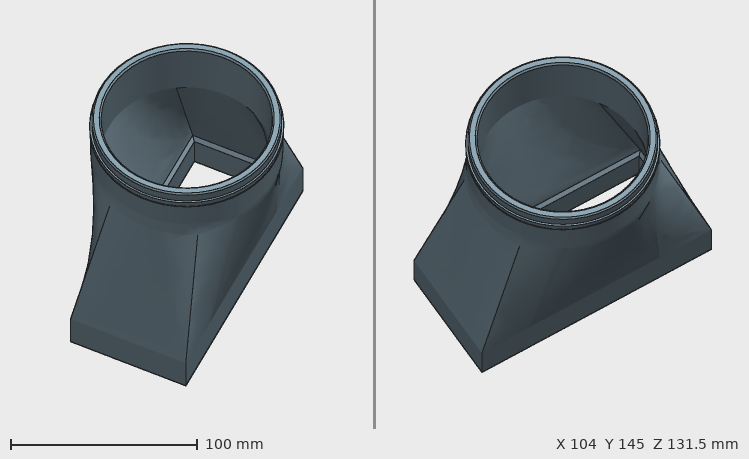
import cadquery as cq
import math

base_width = 68.5
base_length = 145.0
base_height = 20.0

total_height = 131.5
neck_bend = 102.0
neck_diameter = 103.0
neck_top = 116.6
collar_diameter = 104.0
collar_bottom = 121.8
collar_top = 125.5
spigot_diameter = 101.6
rim_chamfer = 0.9
blend_radius = 29.0

bore_diameter = 91.6
bore_bottom = 98.2
bore_chamfer = 1.0
wall = (neck_diameter - bore_diameter) / 2
base_wall = 7.5
ledge_drop = 2.3

curve_steps = 12
bisection_steps = 60
neck_radius = neck_diameter / 2

right_back_angle = math.radians(64.5)
right_front_angle = math.radians(-57.4)
left_back_angle = right_front_angle + math.pi


def base_point(angle):
    """Point on the +X or +Y side of the base, evenly spaced between its ridges."""
    x = base_width / 2
    y = base_length / 2
    if angle <= right_back_angle:
        share = (angle - right_front_angle) / (right_back_angle - right_front_angle)
        return cq.Vector(x, y * (2 * share - 1), base_height)
    share = (angle - right_back_angle) / (left_back_angle - right_back_angle)
    return cq.Vector(x * (1 - 2 * share), y, base_height)


def neck_point(angle, z):
    return cq.Vector(neck_radius * math.cos(angle), neck_radius * math.sin(angle), z)


def wall_lean(angle):
    """Signed angle between the sloping wall and the upright neck."""
    foot = base_point(angle)
    reach = foot.x * math.cos(angle) + foot.y * math.sin(angle) - neck_radius
    return math.atan2(reach, neck_bend - base_height)


def blend_points(angle):
    """Lower, middle and upper points of the rounding at one angle."""
    lean = wall_lean(angle)
    tangent = blend_radius * math.tan(abs(lean) / 2)
    bend = neck_point(angle, neck_bend)
    upper = neck_point(angle, neck_bend + tangent)
    fall = tangent * math.cos(lean) / (neck_bend - base_height)
    lower = bend + (base_point(angle) - bend) * fall
    chord_middle = (lower + upper) * 0.5
    middle = bend + (chord_middle - bend) / (1 + math.cos(lean / 2))
    return lower, middle, upper


def upright_angle(inward, outward):
    """Angle where the wall is upright and the rounding vanishes, found by bisection.

    The wall leans in at the first angle given and out at the second.
    """
    for _ in range(bisection_steps):
        middle = (inward + outward) / 2
        if wall_lean(middle) < 0:
            inward = middle
        else:
            outward = middle
    return inward


def wall_strip(start, end, pointed_start, pointed_end):
    """Wall, rounding and neck faces between two angles, with their end edges."""
    angles = [start + (end - start) * i / curve_steps for i in range(curve_steps + 1)]
    rows = [blend_points(a) for a in angles]
    lower = cq.Edge.makeSpline([row[0] for row in rows])
    upper = cq.Edge.makeSpline([row[2] for row in rows])
    foot = cq.Edge.makeLine(base_point(start), base_point(end))
    rim = cq.Edge.makeThreePointArc(
        neck_point(start, neck_top),
        neck_point((start + end) / 2, neck_top),
        neck_point(end, neck_top),
    )
    border = [lower, upper]
    if not pointed_start:
        border.append(cq.Edge.makeThreePointArc(*rows[0]))
    if not pointed_end:
        border.append(cq.Edge.makeThreePointArc(*rows[-1]))
    rounding = cq.Face.makeNSidedSurface(border, [row[1] for row in rows[2:-2:2]])
    faces = [cq.Face.makeRuledSurface(foot, lower), rounding, cq.Face.makeRuledSurface(upper, rim)]
    return faces, foot, rim


def rectangle_wire(width, length, z):
    x = width / 2
    y = length / 2
    outline = cq.Workplane("XY", origin=(0, 0, z)).polyline([(x, -y), (x, y), (-x, y), (-x, -y)])
    return outline.close().wires().val()


def quartered_circle_wire(diameter, z):
    """Circle split at the four ridges."""
    ridges = [
        right_front_angle,
        right_back_angle,
        left_back_angle,
        right_back_angle + math.pi,
        right_front_angle + 2 * math.pi,
    ]

    def point(angle):
        return (diameter / 2 * math.cos(angle), diameter / 2 * math.sin(angle))

    circle = cq.Workplane("XY", origin=(0, 0, z)).moveTo(*point(ridges[0]))
    for start, end in zip(ridges, ridges[1:]):
        circle = circle.threePointArc(point((start + end) / 2), point(end))
    return circle.close().wires().val()


def cylinder(diameter, bottom, top):
    return cq.Workplane("XY", origin=(0, 0, bottom)).circle(diameter / 2).extrude(top - bottom)


def make_transition():
    """Solid that changes from the rectangular base to the round neck."""
    upright_front = upright_angle(0.0, right_front_angle)
    upright_back = upright_angle(0.0, right_back_angle)
    half = [
        wall_strip(right_front_angle, upright_front, False, True),
        wall_strip(upright_front, upright_back, True, True),
        wall_strip(upright_back, right_back_angle, True, False),
        wall_strip(right_back_angle, left_back_angle, False, False),
    ]
    faces = []
    foot_edges = []
    rim_edges = []
    for turn in (0, 180):
        for strip_faces, foot, rim in half:
            faces += [face.rotate((0, 0, 0), (0, 0, 1), turn) for face in strip_faces]
            foot_edges.append(foot.rotate((0, 0, 0), (0, 0, 1), turn))
            rim_edges.append(rim.rotate((0, 0, 0), (0, 0, 1), turn))
    for edges in (foot_edges, rim_edges):
        faces.append(cq.Face.makeFromWires(cq.Wire.assembleEdges(edges)))
    shell = cq.Shell.makeShell(faces)
    return cq.Workplane(cq.Solid.makeSolid(shell).fix())


def make_spigot():
    """Turned end with its locating collar and chamfered rim."""
    neck = cylinder(neck_diameter, neck_top, collar_bottom)
    collar = cylinder(collar_diameter, collar_bottom, collar_top)
    spigot = cylinder(spigot_diameter, collar_top, total_height)
    spigot = spigot.faces(">Z").edges().chamfer(rim_chamfer)
    return neck.union(collar).union(spigot)


def make_passage():
    """Bore, tapering inner walls and the bevelled rectangular opening."""
    inner_width = base_width - 2 * wall
    inner_length = base_length - 2 * wall
    opening_width = base_width - 2 * base_wall
    opening_length = base_length - 2 * base_wall
    ledge_bottom = base_height - ledge_drop
    mouth_bottom = total_height - bore_chamfer

    inner_walls = cq.Solid.makeLoft(
        [
            rectangle_wire(inner_width, inner_length, base_height),
            quartered_circle_wire(bore_diameter, bore_bottom),
        ],
        True,
    )
    bevel = cq.Solid.makeLoft(
        [
            rectangle_wire(opening_width, opening_length, ledge_bottom),
            rectangle_wire(inner_width, inner_length, base_height),
        ],
        True,
    )
    mouth = cq.Solid.makeCone(
        bore_diameter / 2,
        bore_diameter / 2 + bore_chamfer,
        bore_chamfer,
        cq.Vector(0, 0, mouth_bottom),
    )
    opening = cq.Workplane("XY").rect(opening_width, opening_length).extrude(ledge_bottom)
    bore = cylinder(bore_diameter, bore_bottom, mouth_bottom)
    return opening.union(bevel).union(inner_walls).union(bore).union(mouth)


base = cq.Workplane("XY").rect(base_width, base_length).extrude(base_height)
body = base.union(make_transition()).union(make_spigot())
result = cq.Workplane(body.cut(make_passage()).solids().val())